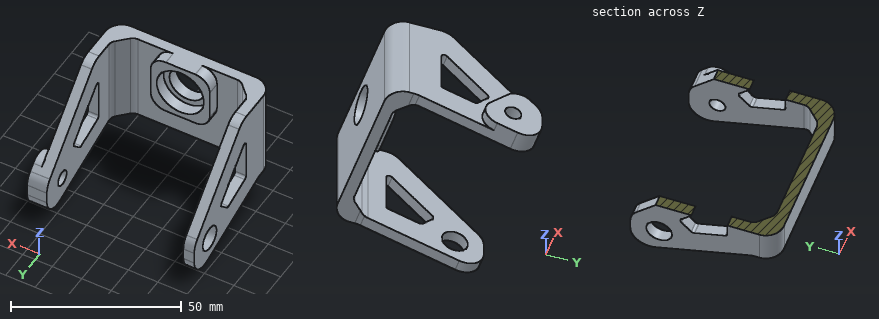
import cadquery as cq
import math

thickness = 3.75
bracket_width = 53.75
arm_reach = 46.0
web_height = 31.0
bend_outer_radius = 5.75

gusset_leg = 5.0
gusset_radius = 3.0

arm_top_length = 18.0
slope_start_y = 8.0
tip_drop = 11.5
outline_radius = 6.0
arm_tip_z = web_height - (arm_reach - arm_top_length)
bottom_angle = math.atan2(tip_drop, arm_reach - slope_start_y)

pivot_y = 37.0
pivot_z = -1.0
left_pivot_diameter = 8.0
right_pivot_diameter = 5.0

rim_width = 8.0
window_front_y = 15.75
window_pivot_gap = 10.0
window_radius = 1.0

pad_thickness = 3.0
pad_pivot_gap = 6.5
pad_radius = 5.0

boss_size = 20.0
boss_corner_radius = 5.0
boss_back_y = 8.0
boss_z = web_height - boss_size / 2
web_hole_diameter = 12.0
boss_bore_diameter = 16.0
boss_bore_depth = 4.0

half_width = bracket_width / 2
inner_half_width = half_width - thickness


def rounded_outline(plane, corners):
    """Closed outline through (point, radius) corners; each non-zero radius becomes a tangent arc."""
    steps = []
    for i, (point, radius) in enumerate(corners):
        corner = cq.Vector(*point)
        to_last = (cq.Vector(*corners[i - 1][0]) - corner).normalized()
        to_next = (cq.Vector(*corners[(i + 1) % len(corners)][0]) - corner).normalized()
        half_angle = to_last.getAngle(to_next) / 2
        setback = radius / math.tan(half_angle)
        bisector = (to_last + to_next).normalized()
        middle = corner + bisector * (radius / math.sin(half_angle) - radius)
        steps.append((corner + to_last * setback, middle, corner + to_next * setback, radius))

    outline = cq.Workplane(plane).moveTo(*steps[0][2].toTuple()[:2])
    for start, middle, end, radius in steps[1:] + steps[:1]:
        outline = outline.lineTo(*start.toTuple()[:2])
        if radius > 0:
            outline = outline.threePointArc(middle.toTuple()[:2], end.toTuple()[:2])
    return outline.close()


def slope_point(rim, pivot_gap):
    """Point on a line `rim` inside the 45 degree edge, `pivot_gap` in front of the pivot axis."""
    y_plus_z = arm_reach + arm_tip_z - rim * math.sqrt(2)
    y_minus_z = pivot_y - pivot_z - pivot_gap * math.sqrt(2)
    return ((y_plus_z + y_minus_z) / 2, (y_plus_z - y_minus_z) / 2)


def bottom_z(y, rim):
    """Height at y of the line `rim` inside the sloping bottom edge."""
    return rim / math.cos(bottom_angle) - (y - slope_start_y) * math.tan(bottom_angle)


def bottom_point(rim, pivot_gap):
    """Point on a line `rim` inside the bottom edge, `pivot_gap` in front of the pivot axis."""
    y_minus_z = pivot_y - pivot_z - pivot_gap * math.sqrt(2)
    y = (y_minus_z + bottom_z(0, rim)) / (1 + math.tan(bottom_angle))
    return (y, y - y_minus_z)


def channel():
    """U-shaped plan of web and arms, trimmed to the side outline of the arms."""
    gusset_x = inner_half_width - gusset_leg
    gusset_y = thickness + gusset_leg
    right_half = [
        ((half_width, 0), bend_outer_radius),
        ((half_width, arm_reach), 0),
        ((inner_half_width, arm_reach), 0),
        ((inner_half_width, gusset_y), gusset_radius),
        ((gusset_x, thickness), gusset_radius),
    ]
    left_half = [((-x, y), radius) for (x, y), radius in reversed(right_half)]
    plan_height = web_height + tip_drop
    plan = rounded_outline("XY", right_half + left_half).extrude(plan_height)
    plan = plan.translate((0, 0, -tip_drop))

    side = rounded_outline("YZ", [
        ((0, 0), 0),
        ((slope_start_y, 0), outline_radius),
        ((arm_reach, -tip_drop), outline_radius),
        ((arm_reach, arm_tip_z), outline_radius),
        ((arm_top_length, web_height), outline_radius),
        ((0, web_height), 0),
    ]).extrude(half_width, both=True)
    return plan.intersect(side)


def tip_pad():
    """Pad covering the outside of the right arm's tip, flush with the arm outline."""
    pad = rounded_outline("YZ", [
        ((arm_reach, -tip_drop), outline_radius),
        ((arm_reach, arm_tip_z), outline_radius),
        (slope_point(0, pad_pivot_gap), pad_radius),
        (bottom_point(0, pad_pivot_gap), pad_radius),
    ]).extrude(thickness + pad_thickness)
    return pad.translate((inner_half_width, 0, 0))


def web_boss():
    """Square boss with rounded corners, level with the top of the web."""
    boss = cq.Workplane("XY").box(boss_size, boss_back_y, boss_size)
    boss = boss.edges("|Y").fillet(boss_corner_radius)
    boss = boss.translate((0, boss_back_y / 2, boss_z))
    return boss


def arm_window():
    """Cutter for the four-sided window through both arms."""
    slope_top_z = arm_reach + arm_tip_z - rim_width * math.sqrt(2) - window_front_y
    return rounded_outline("YZ", [
        ((window_front_y, bottom_z(window_front_y, rim_width)), window_radius),
        (bottom_point(rim_width, window_pivot_gap), window_radius),
        (slope_point(rim_width, window_pivot_gap), window_radius),
        ((window_front_y, slope_top_z), window_radius),
    ]).extrude(bracket_width, both=True)


def pivot_hole(diameter, length):
    """Cutter along X from the middle plane; a negative length points to the left arm."""
    return cq.Workplane("YZ").center(pivot_y, pivot_z).circle(diameter / 2).extrude(length)


def web_hole():
    """Cutter for the hole through the web and the wider bore through the boss."""
    axis_plane = cq.Workplane("XZ").center(0, boss_z)
    hole = axis_plane.circle(web_hole_diameter / 2).extrude(-boss_back_y)
    bore = axis_plane.workplane(offset=-boss_back_y).circle(boss_bore_diameter / 2)
    return hole.union(bore.extrude(boss_bore_depth))


result = channel().union(tip_pad()).union(web_boss())
result = result.cut(arm_window())
result = result.cut(pivot_hole(left_pivot_diameter, -bracket_width))
result = result.cut(pivot_hole(right_pivot_diameter, bracket_width))
result = result.cut(web_hole())